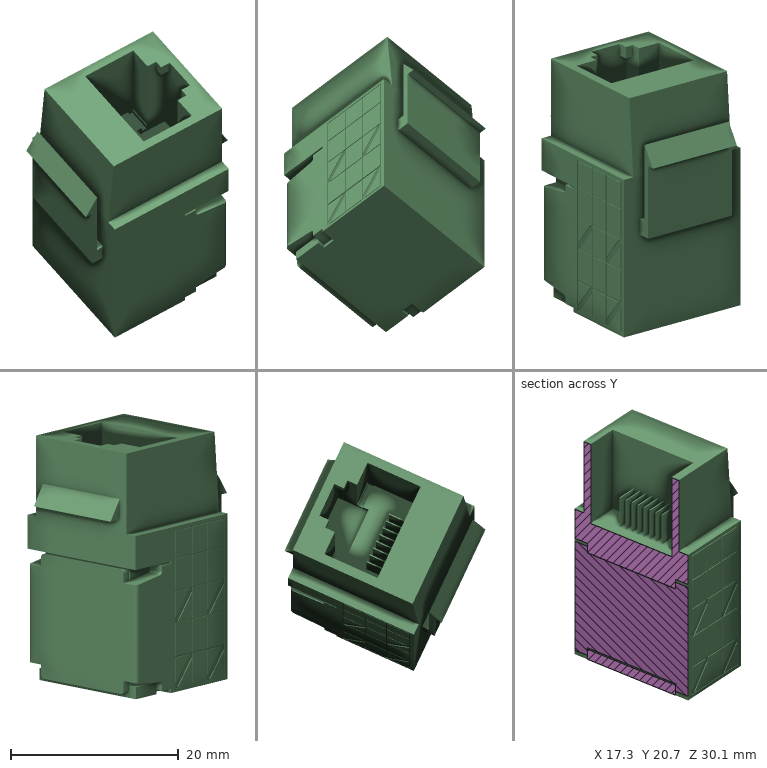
import cadquery as cq


base_width = 17.27
base_depth = 16.5
base_height = 20.25
plug_end_width = 14.5
total_height = 30.15
plug_end_setback = 0.8

barb_base_z = 21.93
barb_rise = 2.5
barb_reach = 1.62
rear_snap_width = 12.26

latch_width = 12.47
latch_bottom_z = 12.62
latch_foot_height = 2.05
latch_inner_gap = 0.9
latch_arm_thickness = 0.7
latch_barb_reach = 0.95
latch_barb_rise = 2.53

socket_width = 12.26
socket_front_y = 5.92
socket_back_y = 12.88
socket_depth = 11.0
tongue_width = 6.33
tongue_front_y = 11.38
tongue_step_y = 14.14
tongue_tip_width = 4.24
tongue_back_y = 15.39
tongue_shoulder_thickness = 1.46
tongue_floor_drop = 1.0
floor_slot_width = socket_width
floor_slot_front_y = 12.09
floor_slot_back_y = 12.73
floor_slot_drop = 0.5

blade_count = 8
blade_pitch = 0.911
blade_row_x = -0.27
blade_thickness = 0.15
blade_length = 2.65
blade_height = 4.0

recess_front_y = 10.13
recess_top_z = 16.12
block_back_y = 15.37
lower_block_inset = 0.91
upper_block_inset = 1.9
lower_block_height = 1.46
upper_block_bottom_z = 13.0
groove_depth = upper_block_inset

cap_back_y = 16.31
cap_leg_back_y = 11.73
cap_bottom_z = 0.55
cap_top_z = 15.8
cap_lower_root_z = 1.6
cap_upper_root_z = 14.8
cap_slope_rise = 0.62
cap_root_radius = 0.4
cap_edge_radius = 0.5
cap_plate_width = 13.2
cap_plate_corner_radius = 0.45

label_front_y = 0.6
label_back_y = 9.3
label_bottom_z = 0.47
label_top_z = 19.74
label_column_ys = [3.6, 6.33]
label_row_zs = [4.3, 8.45, 12.34, 16.33]
label_line = 0.13
label_wide_line = 0.24
label_depth = 0.1
striped_rows = [0, 2]
striped_columns = [0, 2]
stripe_run = 0.37
stripe_rise = 0.62


def box(x_range, y_range, z_range):
    """A block between two limits on each axis."""
    size = [high - low for low, high in (x_range, y_range, z_range)]
    return cq.Workplane("XY").box(*size, centered=False).translate((x_range[0], y_range[0], z_range[0]))


def centered_box(width, y_range, z_range):
    """A block centred on X = 0."""
    return box((-width / 2, width / 2), y_range, z_range)


def side_profile(points, width):
    """A (Y, Z) outline extruded evenly to both sides of X = 0."""
    return cq.Workplane("YZ").polyline(points).close().extrude(width / 2, both=True)


def plug_end():
    outline = [
        (0, base_height),
        (base_depth, base_height),
        (base_depth, total_height),
        (plug_end_setback, total_height),
    ]
    return side_profile(outline, plug_end_width)


def rear_snap():
    outline = [
        (base_depth, barb_base_z),
        (base_depth + barb_reach, barb_base_z),
        (base_depth, barb_base_z + barb_rise),
    ]
    return side_profile(outline, rear_snap_width)


def front_latch():
    arm_inner_y = -latch_inner_gap
    arm_outer_y = arm_inner_y - latch_arm_thickness
    foot_top_z = latch_bottom_z + latch_foot_height
    outline = [
        (0, latch_bottom_z),
        (arm_outer_y, latch_bottom_z),
        (arm_outer_y, barb_base_z),
        (arm_outer_y - latch_barb_reach, barb_base_z),
        (arm_inner_y, barb_base_z + latch_barb_rise),
        (arm_inner_y, foot_top_z),
        (0, foot_top_z),
    ]
    return side_profile(outline, latch_width)


def contact_blades(floor_z):
    y_range = (socket_front_y, socket_front_y + blade_length)
    z_range = (floor_z, floor_z + blade_height)
    blade = centered_box(blade_thickness, y_range, z_range)
    blades = cq.Workplane("XY")
    for index in range(blade_count):
        x = blade_row_x + (index - (blade_count - 1) / 2) * blade_pitch
        blades = blades.add(blade.translate((x, 0, 0)))
    return blades.combine()


def plug_opening():
    floor_z = total_height - socket_depth
    shoulder_z = total_height - tongue_shoulder_thickness
    tongue_floor_z = floor_z - tongue_floor_drop
    opening = centered_box(socket_width, (socket_front_y, socket_back_y), (floor_z, total_height))
    opening = opening.cut(contact_blades(floor_z))
    tongue = centered_box(tongue_width, (tongue_front_y, tongue_step_y), (tongue_floor_z, total_height))
    tip = centered_box(tongue_tip_width, (tongue_step_y, tongue_back_y), (shoulder_z, total_height))
    under_shoulder = centered_box(
        tongue_width, (tongue_step_y, tongue_back_y), (tongue_floor_z, shoulder_z)
    )
    floor_slot = centered_box(
        floor_slot_width, (floor_slot_front_y, floor_slot_back_y), (floor_z - floor_slot_drop, floor_z)
    )
    return opening.union(tongue).union(tip).union(under_shoulder).union(floor_slot)


def rear_recess(cap):
    """Space at the lower back: it leaves an upper and a lower block, and fits the cap."""
    recess = centered_box(base_width, (recess_front_y, base_depth), (0, recess_top_z))
    block_y = (recess_front_y, block_back_y)
    lower_block_width = base_width - 2 * lower_block_inset
    upper_block_width = base_width - 2 * upper_block_inset
    lower_block = centered_box(lower_block_width, block_y, (0, lower_block_height))
    upper_block = centered_box(upper_block_width, block_y, (upper_block_bottom_z, recess_top_z))
    recess = recess.cut(lower_block).cut(upper_block)
    core_width = base_width - 2 * groove_depth
    grooves = centered_box(base_width, (recess_front_y, cap_leg_back_y), (0, recess_top_z)).cut(
        centered_box(core_width, (recess_front_y, cap_leg_back_y), (0, recess_top_z))
    )
    return recess.union(grooves).union(cap)


def label_stripe(y_range, z_range, x_range):
    """A diagonal stripe across a label cell, from its lower back to its upper front corner."""
    front_y, back_y = y_range
    bottom_z, top_z = z_range
    outline = [
        (back_y, bottom_z),
        (back_y - stripe_run, bottom_z),
        (front_y, top_z - stripe_rise),
        (front_y, top_z),
        (front_y + stripe_run, top_z),
        (back_y, bottom_z + stripe_rise),
    ]
    depth = x_range[1] - x_range[0]
    return cq.Workplane("YZ", origin=(x_range[0], 0, 0)).polyline(outline).close().extrude(depth)


def label_grooves():
    side_x = -base_width / 2
    x_range = (side_x, side_x + label_depth)
    z_limits = (label_bottom_z, label_top_z)
    column_edges = [label_front_y, *label_column_ys, label_back_y]
    row_edges = [label_bottom_z, *label_row_zs, label_top_z]
    half_line = label_line / 2

    grooves = cq.Workplane("XY")
    for y in column_edges:
        grooves = grooves.union(box(x_range, (y - half_line, y + half_line), z_limits))
    y_span = (label_front_y - half_line, label_back_y + half_line)
    for index, z in enumerate(row_edges):
        half_row_line = label_wide_line / 2 if index == 1 else half_line
        grooves = grooves.union(box(x_range, y_span, (z - half_row_line, z + half_row_line)))
    for row in striped_rows:
        for column in striped_columns:
            cell_y = (column_edges[column], column_edges[column + 1])
            cell_z = (row_edges[row], row_edges[row + 1])
            grooves = grooves.union(label_stripe(cell_y, cell_z, x_range))
    return grooves


def make_cap():
    lower_back_z = cap_lower_root_z + cap_slope_rise
    upper_back_z = cap_upper_root_z - cap_slope_rise

    outline = [
        (recess_front_y, cap_bottom_z),
        (cap_leg_back_y, cap_bottom_z),
        (cap_leg_back_y, cap_lower_root_z),
        (cap_back_y, lower_back_z),
        (cap_back_y, upper_back_z),
        (cap_leg_back_y, cap_upper_root_z),
        (cap_leg_back_y, cap_top_z),
        (recess_front_y, cap_top_z),
    ]
    cap = side_profile(outline, base_width)
    for root_z in (cap_lower_root_z, cap_upper_root_z):
        root = cq.selectors.NearestToPointSelector((0, cap_leg_back_y, root_z))
        cap = cap.edges("|X").edges(root).fillet(cap_root_radius)

    core_width = base_width - 2 * groove_depth
    core_y = (recess_front_y, cap_leg_back_y + cap_root_radius)
    for z_range in ((cap_bottom_z, cap_lower_root_z), (cap_upper_root_z, cap_top_z)):
        cap = cap.cut(centered_box(core_width, core_y, z_range))
    cap = cap.edges("|Z and >Y").fillet(cap_edge_radius)

    plate = centered_box(cap_plate_width, (block_back_y, cap_back_y), (cap_bottom_z, cap_top_z))
    plate = plate.edges("|Y").fillet(cap_plate_corner_radius)
    return cap.union(plate)


def make_housing(cap):
    housing = centered_box(base_width, (0, base_depth), (0, base_height))
    housing = housing.union(plug_end()).union(rear_snap()).union(front_latch())
    return housing.cut(plug_opening()).cut(rear_recess(cap)).cut(label_grooves())


wiring_cap = make_cap()
housing = make_housing(wiring_cap)
result = cq.Compound.makeCompound([housing.val(), wiring_cap.val()])